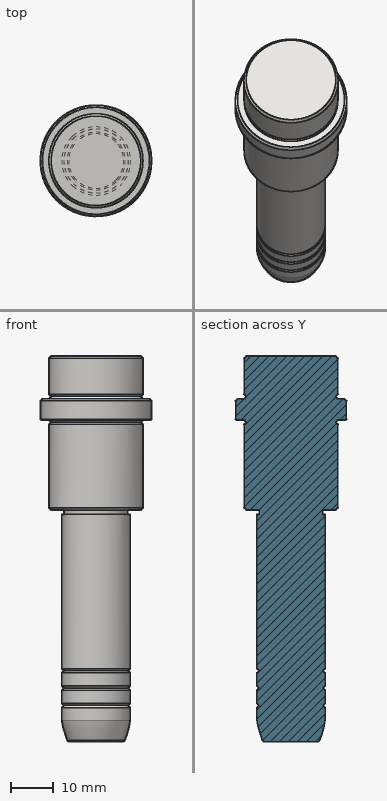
import cadquery as cq

total_length = 90.0
head_diameter = 22.0
flange_diameter = 26.0
shank_diameter = 16.0
head_radius = head_diameter / 2
flange_radius = flange_diameter / 2
shank_radius = shank_diameter / 2

groove_width = 1.0
groove_depth = groove_width / 2

flange_top = 80.0
flange_thickness = 5.0
flange_bottom = flange_top - flange_thickness
flange_chamfer = 0.5
flange_lower_chamfer = 0.3
head_chamfer = 0.5

head_bottom = 54.0
neck_length = 1.0
neck_radius = 7.5

groove_count = 3
groove_pitch = 4.05
first_groove_height = 8.5
tip_length = 5.0
tip_radius = 6.75
tip_bulge = 0.2
tip_chamfer = 0.4


def cylinder(radius, bottom, top):
    """Solid cylinder on the Z axis between two heights."""
    return cq.Workplane("XY").workplane(offset=bottom).circle(radius).extrude(top - bottom)


def make_groove(radius, height):
    """V-shaped ring cutter centred at a height on a cylinder of the given radius."""
    half_width = groove_width / 2
    return (
        cq.Workplane("XZ")
        .moveTo(radius, height - half_width)
        .lineTo(radius - groove_depth, height)
        .lineTo(radius, height + half_width)
        .close()
        .revolve(360, (0, 0), (0, 1))
    )


def make_head():
    """Chamfered head with a V groove where each side of the flange will sit."""
    head = cylinder(head_radius, head_bottom, total_length)
    head = head.edges().chamfer(head_chamfer)
    for height in (flange_bottom - groove_width / 2, flange_top + groove_width / 2):
        head = head.cut(make_groove(head_radius, height))
    return head


def make_flange():
    flange = cylinder(flange_radius, flange_bottom, flange_top)
    flange = flange.faces(">Z").edges().chamfer(flange_chamfer)
    return flange.faces("<Z").edges().chamfer(flange_lower_chamfer)


def make_shank():
    """Shank with a slightly convex tapered tip, revolved about Z."""
    shank_top = head_bottom - neck_length
    middle_radius = (shank_radius + tip_radius) / 2 + tip_bulge
    return (
        cq.Workplane("XZ")
        .lineTo(tip_radius - tip_chamfer, 0)
        .lineTo(tip_radius, tip_chamfer)
        .threePointArc((middle_radius, (tip_length + tip_chamfer) / 2), (shank_radius, tip_length))
        .lineTo(shank_radius, shank_top)
        .lineTo(0, shank_top)
        .close()
        .revolve(360, (0, 0), (0, 1))
    )


neck = cylinder(neck_radius, head_bottom - neck_length, head_bottom)
result = make_shank().union(neck).union(make_head()).union(make_flange())

for index in range(groove_count):
    result = result.cut(make_groove(shank_radius, first_groove_height + index * groove_pitch))